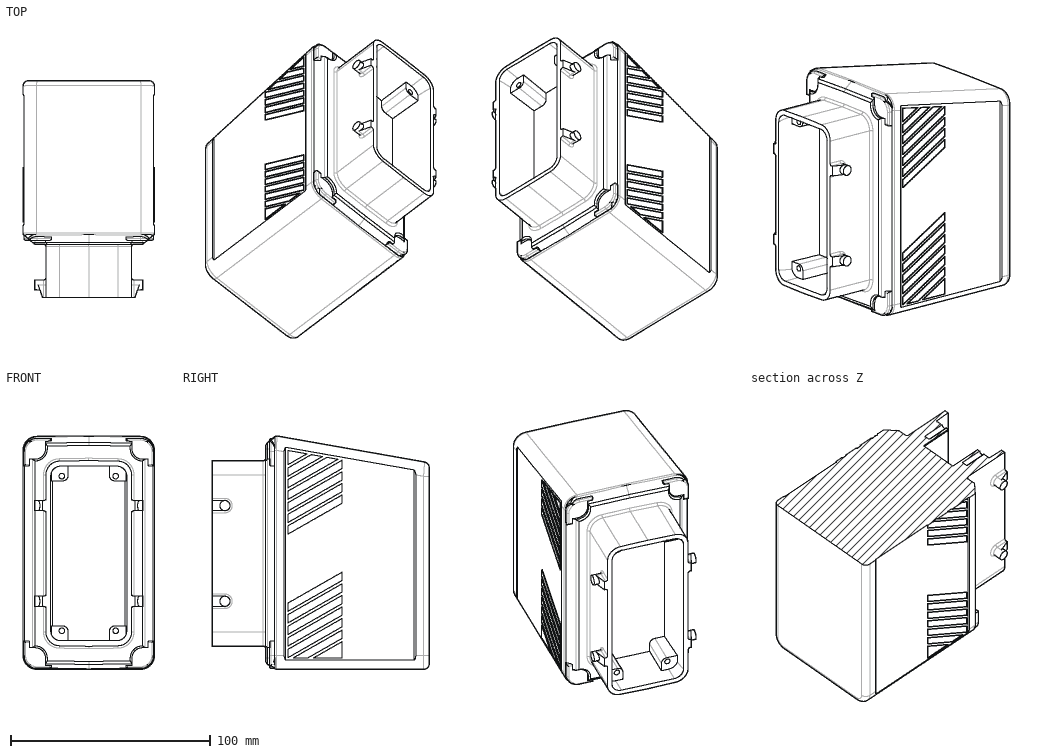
import cadquery as cq
import math

width = 66.01
length = 108.97
height = 117.26
half_width = width / 2
centre_z = 58.2

body_front_y = 31.3
top_slope = math.radians(10)
top_crown = 0.4
long_edge_radius = 7.0
back_edge_radius = 2.9
front_edge_radius = 1.0
side_recess_depth = 0.4
side_recess_front_y = 36.1
side_recess_back_y = 102.2
side_recess_draft = 0.8

stripe_front_y = 38.0
stripe_back_y = 65.2
stripe_slope = math.tan(math.radians(29.7))
stripe_pitch = 5.81
stripe_height = 4.15
stripe_floor_z = 5.8
stripe_ceiling_drop = 6.4
upper_stripe_z = 83.4
lower_stripe_z = 48.8
upper_stripe_count = 7
lower_stripe_count = 7

plate_front_y = 26.8
plate_edge_y = 27.7
plate_root_y = 31.6
plate_root_half = (32.6, 57.5)
plate_root_top_rise = 0.9
plate_edge_half = (28.3, 55.3)
plate_face_half = (27.0, 53.8)
peak_rise = 0.4

pad_front_y = 28.8
pad_inset = 0.5
pad_edge_radius = 0.8
pad_inner_half = (21.7, 47.3)
pad_inner_radius = 5.2
pad_leg_root_half = (29.7, 56.2)
pad_leg_end_half = (18.7, 43.9)
pocket_taper = -45.0

collar_half = (21.5, 46.2)
collar_radius = 6.9
collar_root_radius = 1.2
wall = 2.4
cavity_radius = 5.0
cavity_floor_y = 25.7
cavity_floor_half_width = 18.2

boss_end_y = 8.4
boss_inner_half = (10.3, 36.4)
boss_radius = 2.8
boss_hole_half = (13.5, 38.8)
boss_hole_diameter = 2.8
boss_hole_depth = 12.0

peg_radius = 2.55
peg_y = 6.4
peg_half_spacing = 24.0
peg_tip_x = 27.2
rib_top_x = 25.4
rib_rim_x = 23.2
rib_root_radius = 1.1

apex_z = height + front_edge_radius * (1 / math.cos(top_slope) + math.tan(top_slope) - 1)
pick_margin = 0.1
signs = (-1, 1)
quadrants = [(sx, sz) for sx in signs for sz in signs]


def top_z(y):
    """Height of the sloping top at X = 0."""
    return apex_z - (y - body_front_y) * math.tan(top_slope)


def at_y(y):
    """Sketch plane facing -Y, with its origin at the middle height of the collar."""
    return cq.Workplane("XZ", origin=(0, y, centre_z))


def peaked_outline(workplane, half_x, half_z, top_rise=0):
    """Rectangle whose upper and lower sides bulge to a low peak at X = 0."""
    peak_z = half_z + peak_rise
    points = [(-half_x, -half_z), (0, -peak_z), (half_x, -half_z),
              (half_x, half_z + top_rise), (0, peak_z + top_rise), (-half_x, half_z + top_rise)]
    return workplane.polyline(points).close()


def peaked_block(front_y, back_y, half_x, half_z, radius):
    """Straight block on a peaked outline with rounded corners."""
    block = peaked_outline(at_y(front_y), half_x, half_z).extrude(front_y - back_y)
    return block.edges("|Y").edges("<X or >X").fillet(radius)


def peaked_frustum(front_y, back_y, front_half, back_half, back_top_rise=0):
    """Sloping-sided block between two peaked outlines."""
    back = peaked_outline(at_y(back_y), *back_half, back_top_rise)
    sections = peaked_outline(back.workplane(offset=back_y - front_y), *front_half)
    return sections.loft(ruled=True, combine=True)


def make_body():
    """Rounded housing with a sloping, slightly crowned top and striped sides."""
    profile = [(body_front_y, 0), (length, 0), (length, top_z(length)), (body_front_y, apex_z)]
    body = cq.Workplane("YZ", origin=(-half_width, 0, 0)).polyline(profile).close().extrude(width)

    slope_plane = cq.Plane(
        origin=(0, body_front_y, apex_z), xDir=(1, 0, 0),
        normal=(0, -math.cos(top_slope), math.sin(top_slope)))
    crowned = (cq.Workplane(slope_plane).moveTo(-half_width, -top_crown)
               .threePointArc((0, 0), (half_width, -top_crown))
               .lineTo(half_width, -2 * height).lineTo(-half_width, -2 * height).close()
               .extrude(2 * length, both=True))
    body = body.intersect(crowned)

    long_edges = body.edges("<X or >X").edges("not(<Y or >Y)")
    body = long_edges.fillet(long_edge_radius)
    body = body.faces(">Y").edges().fillet(back_edge_radius)
    body = body.faces("<Y").edges().fillet(front_edge_radius)
    for side in signs:
        body = body.cut(make_side_recess(side))
        body = body.union(make_stripes(side))
    return body


def make_side_recess(side):
    """Shallow relief with sloping ends that runs out through the rounded long edges."""
    outer_x = side * half_width
    floor_x = side * (half_width - side_recess_depth)
    points = [(outer_x, side_recess_front_y), (floor_x, side_recess_front_y + side_recess_draft),
              (floor_x, side_recess_back_y - side_recess_draft), (outer_x, side_recess_back_y)]
    return cq.Workplane("XY").polyline(points).close().extrude(height)


def stripe(plane, back_low_z, tall):
    """One slanted stripe, given by the height of its lower corner at the back end."""
    front_low_z = back_low_z - (stripe_back_y - stripe_front_y) * stripe_slope
    points = [(stripe_back_y, back_low_z), (stripe_front_y, front_low_z),
              (stripe_front_y, front_low_z + tall), (stripe_back_y, back_low_z + tall)]
    return plane.polyline(points).close().extrude(side_recess_depth)


def make_stripes(side):
    """Two groups of raised stripes, trimmed to a window in the recess."""
    base_x = half_width - side_recess_depth if side > 0 else -half_width
    plane = cq.Workplane("YZ", origin=(base_x, 0, 0))
    window_points = [(stripe_front_y, stripe_floor_z), (stripe_back_y, stripe_floor_z),
                     (stripe_back_y, top_z(stripe_back_y) - stripe_ceiling_drop),
                     (stripe_front_y, top_z(stripe_front_y) - stripe_ceiling_drop)]
    window = plane.polyline(window_points).close().extrude(side_recess_depth)

    corner_top_z = lower_stripe_z - (lower_stripe_count - 1) * stripe_pitch
    stripes = stripe(plane, 0, corner_top_z)
    for index in range(lower_stripe_count - 1):
        low_z = lower_stripe_z - stripe_height - index * stripe_pitch
        stripes = stripes.union(stripe(plane, low_z, stripe_height))
    for index in range(upper_stripe_count):
        low_z = upper_stripe_z + index * stripe_pitch
        tall = 2 * stripe_height if index == upper_stripe_count - 1 else stripe_height
        stripes = stripes.union(stripe(plane, low_z, tall))
    return stripes.intersect(window)


def corner_block(front_y, back_y, inner_half, sx, sz):
    """Square block reaching from an inner corner outwards past the housing corner."""
    dx = half_width - inner_half[0]
    dz = height / 2 - inner_half[1]
    centre = (sx * (inner_half[0] + dx / 2), sz * (inner_half[1] + dz / 2))
    return at_y(front_y).center(*centre).rect(dx, dz).extrude(front_y - back_y)


def inward_sides(sx, sz):
    """Selectors for the two sides of a corner feature that face the middle of the part."""
    return ("<X" if sx > 0 else ">X", "<Z" if sz > 0 else ">Z")


def rounded_corner_block(front_y, back_y, inner_half, radius, sx, sz):
    """Corner block with its inward edge rounded."""
    block = corner_block(front_y, back_y, inner_half, sx, sz)
    x_side, z_side = inward_sides(sx, sz)
    return block.edges("|Y").edges(x_side).edges(z_side).fillet(radius)


def make_plate():
    """Raised plate with sloping sides, relieved around the four corner pads."""
    plate = peaked_frustum(
        plate_edge_y, plate_root_y, plate_edge_half, plate_root_half, plate_root_top_rise)
    plate = plate.union(peaked_frustum(plate_front_y, plate_edge_y, plate_face_half, plate_edge_half))
    plate_height = 2 * (plate_root_half[1] + peak_rise) + plate_root_top_rise
    footprint = (at_y(plate_front_y).center(0, plate_root_top_rise / 2)
                 .rect(2 * plate_root_half[0], plate_height)
                 .extrude(plate_front_y - plate_root_y).edges("|Y").fillet(long_edge_radius))
    plate = plate.intersect(footprint)
    for sx, sz in quadrants:
        span = 2 * plate_root_half[0]
        centre = (sx * (pad_inner_half[0] + span / 2), sz * (pad_inner_half[1] + span / 2))
        outline = cq.Sketch().rect(span, span).vertices().fillet(pad_inner_radius)
        pocket = at_y(pad_front_y).center(*centre).placeSketch(outline)
        lip = at_y(plate_edge_y).center(*centre).placeSketch(outline)
        plate = plate.cut(pocket.extrude(pad_front_y - plate_edge_y))
        plate = plate.cut(lip.extrude(plate_edge_y - plate_front_y, taper=pocket_taper))
    return plate


def make_pads():
    """Four L-shaped pads that follow the rounded corners of the housing front."""
    outline_half = (half_width - pad_inset, centre_z - pad_inset)
    slab = (at_y(pad_front_y).rect(2 * outline_half[0], 2 * outline_half[1])
            .extrude(pad_front_y - body_front_y).edges("|Y").fillet(long_edge_radius - pad_inset)
            .faces("<Y").edges().fillet(pad_edge_radius))
    pads = cq.Workplane("XY")
    for sx, sz in quadrants:
        shape = rounded_corner_block(
            pad_front_y, body_front_y, pad_inner_half, pad_inner_radius, sx, sz)
        side_leg = (pad_leg_root_half[0], pad_leg_end_half[1])
        end_leg = (pad_leg_end_half[0], pad_leg_root_half[1])
        x_side, z_side = inward_sides(sx, sz)
        for leg_half, end in ((side_leg, z_side), (end_leg, x_side)):
            leg = corner_block(pad_front_y, body_front_y, leg_half, sx, sz)
            shape = shape.union(leg.faces("<Y").edges(end).fillet(pad_edge_radius))
        pads = pads.add(slab.intersect(shape))
    return pads.combine()


def make_peg(side, z):
    """Round peg standing on a ramp that is open at the rim."""
    root_x = side * (collar_half[0] - wall / 2)
    ramp_points = [(root_x, 0), (side * rib_rim_x, 0), (side * rib_top_x, peg_y), (root_x, peg_y)]
    ramp = (cq.Workplane("XY", origin=(0, 0, z - peg_radius))
            .polyline(ramp_points).close().extrude(2 * peg_radius))
    pin = (cq.Workplane("YZ", origin=(root_x, 0, 0)).center(peg_y, z)
           .circle(peg_radius).extrude(side * peg_tip_x - root_x))
    return ramp.union(pin)


def make_collar():
    """Solid collar with two pegs on each side."""
    collar = peaked_block(0, plate_edge_y, *collar_half, collar_radius)
    for side, sz in quadrants:
        collar = collar.union(make_peg(side, centre_z + sz * peg_half_spacing))

    reach_y = 2 * (peg_y + peg_radius)
    for side in signs:
        side_x = side * collar_half[0]
        near_side = cq.selectors.BoxSelector(
            (side_x - pick_margin, -pick_margin, 0), (side_x + pick_margin, reach_y, height))
        collar = collar.edges(near_side).edges("not(<Y)").fillet(rib_root_radius)
    return collar


def make_cavity():
    """Drafted opening of the collar, less the bosses standing in its corners."""
    inner_half = (collar_half[0] - wall, collar_half[1] - wall)
    cavity = (at_y(0).rect(2 * inner_half[0], 2 * inner_half[1]).extrude(-cavity_floor_y)
              .edges("|Y").fillet(cavity_radius))
    drafted = (cq.Workplane("XY").polyline([
        (-inner_half[0], 0), (inner_half[0], 0),
        (cavity_floor_half_width, cavity_floor_y), (-cavity_floor_half_width, cavity_floor_y)])
        .close().extrude(height))
    cavity = cavity.intersect(drafted)
    for sx, sz in quadrants:
        boss = rounded_corner_block(
            boss_end_y, cavity_floor_y, boss_inner_half, boss_radius, sx, sz)
        cavity = cavity.cut(boss)
    return cavity


def make_front_end():
    """Plate and collar, blended along the collar root."""
    front = make_plate().union(make_collar())
    reach = (collar_half[0] + collar_root_radius / 2, collar_half[1] + peak_rise + collar_root_radius / 2)
    root = cq.selectors.BoxSelector(
        (-reach[0], plate_front_y - pick_margin, centre_z - reach[1]),
        (reach[0], plate_front_y + pick_margin, centre_z + reach[1]), boundingbox=True)
    return front.edges(root).fillet(collar_root_radius)


def make_boss_holes():
    """Blind screw holes in the ends of the bosses."""
    centres = [(sx * boss_hole_half[0], sz * boss_hole_half[1]) for sx, sz in quadrants]
    return at_y(boss_end_y).pushPoints(centres).circle(boss_hole_diameter / 2).extrude(-boss_hole_depth)


result = make_body().union(make_pads()).union(make_front_end())
result = result.cut(make_cavity()).cut(make_boss_holes())